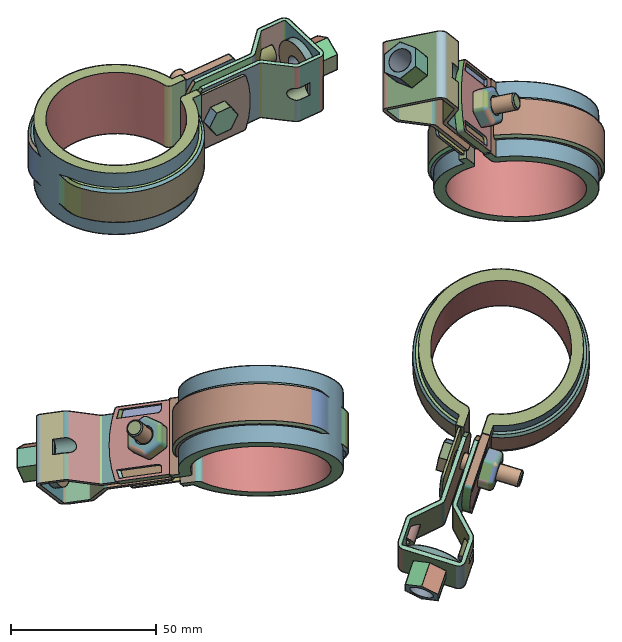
import cadquery as cq
import math


overall_length = 116.8
hexagon_half_angle = 30
pick_margin = 0.1

ring_height = 28.0
ring_outer_radius = 28.4
ring_inner_radius = 24.2
ring_lug_top = 31.4
ear_inner = 3.3
ear_outer = 6.2
slit_corner_radius = 2.0

band_radius = 30.4
band_half_height = 7.6
band_chamfer = 0.9
band_flat = 27.8
band_end_radius = 13.3

sheet = 1.5
bend_inner_radius = 0.6
bend_outer_radius = 2.6
neck_bend_radius = 1.0
slope_angle = math.radians(45)
bracket_height = 25.0
bracket_top = 79.4
bracket_half_width = 12.1
leg_gap_half = 1.4
shoulder_y = 67.5
leg_end = 29.3
leg_end_corner = 34.1

channel_outer_diameter = 8.5
channel_inner_diameter = channel_outer_diameter - 2 * sheet
channel_top = 72.5

hanger_hex_flats = 11.9
hanger_top = overall_length - ring_outer_radius
hanger_disc_diameter = 20.0
hanger_disc_thickness = 2.9
hanger_neck_diameter = 10.5
hanger_bore_diameter = 8.5

screw_y = 38.8
screw_diameter = 6.0
screw_tip = -19.9
screw_tip_chamfer = 0.5
screw_head_flats = 10.3
screw_head_height = 3.7
nut_flats = 12.8
nut_height = 5.4
nut_edge_radius = 1.5
nut_countersink_diameter = 7.0

nut_plate_height = 27.1
nut_plate_tip = 54.0
cover_plate_tip = 52.5
cover_plate_inner = 4.3
cover_plate_outer = 5.3
plate_end_radius = 40.3
plate_corner_radius = 1.2

recess_depth = 1.2
recess_outer_z = 12.5
recess_inner_z = 9.3
recess_start = 34.5
recess_end_outer = 50.2
recess_end_inner = 51.2
recess_corner_radius = 1.5
recess_ramp = 1.0


def box_between(x_range, y_range, z_range):
    size = [high - low for low, high in (x_range, y_range, z_range)]
    corner = (x_range[0], y_range[0], z_range[0])
    return cq.Workplane("XY").box(*size, centered=False).translate(corner)


def cylinder_along_x(diameter, x_start, x_end):
    axis_start = cq.Vector(x_start, screw_y, 0)
    axis = cq.Vector(1, 0, 0)
    return cq.Workplane(cq.Solid.makeCylinder(diameter / 2, x_end - x_start, axis_start, axis))


def hexagon_along_x(flats, x_start, x_end, turn):
    """Hexagonal prism on the screw axis; a turn of zero puts corners at +Y and -Y."""
    corner_diameter = flats / math.cos(math.radians(hexagon_half_angle))
    prism = cq.Workplane("YZ").polygon(6, corner_diameter).extrude(x_end - x_start)
    return prism.rotate((0, 0, 0), (1, 0, 0), turn).translate((x_start, screw_y, 0))


def cut_screw_hole(body):
    return body.cut(cylinder_along_x(screw_diameter, -bracket_half_width, bracket_half_width))


def make_band():
    """Raised band: a disc flattened at -Y, with the flat blended into its round side."""
    blend_x = math.sqrt((band_radius - band_end_radius) ** 2 - (band_flat - band_end_radius) ** 2)
    blend_y = band_end_radius - band_flat
    join_scale = band_radius / (band_radius - band_end_radius)
    join_x = blend_x * join_scale
    join_y = blend_y * join_scale
    middle_angle = (math.atan2(join_y, join_x) - math.pi / 2) / 2
    middle_x = blend_x + band_end_radius * math.cos(middle_angle)
    middle_y = blend_y + band_end_radius * math.sin(middle_angle)
    return (
        cq.Workplane("XY", origin=(0, 0, -band_half_height))
        .moveTo(-blend_x, -band_flat)
        .lineTo(blend_x, -band_flat)
        .threePointArc((middle_x, middle_y), (join_x, join_y))
        .threePointArc((0, band_radius), (-join_x, join_y))
        .threePointArc((-middle_x, middle_y), (-blend_x, -band_flat))
        .close()
        .extrude(2 * band_half_height)
        .faces("|Z")
        .edges()
        .chamfer(band_chamfer)
    )


def make_ring():
    z_range = (-ring_height / 2, ring_height / 2)
    ring = cq.Workplane("XY", origin=(0, 0, z_range[0])).circle(ring_outer_radius).extrude(ring_height)
    ring = ring.union(make_band())
    lugs = box_between((-ear_outer, ear_outer), (ring_inner_radius, ring_lug_top), z_range)
    ring = ring.union(lugs)
    bore = cq.Workplane("XY").circle(ring_inner_radius).extrude(ring_height, both=True)
    slit = box_between((-ear_inner, ear_inner), (0, ring_lug_top), z_range)
    ring = ring.cut(bore).cut(slit)

    corner_y = math.sqrt(ring_inner_radius**2 - ear_inner**2)
    slit_corners = cq.selectors.BoxSelector(
        (-ear_inner - pick_margin, corner_y - pick_margin, -pick_margin),
        (ear_inner + pick_margin, corner_y + pick_margin, pick_margin),
    )
    return ring.edges("|Z").edges(slit_corners).fillet(slit_corner_radius)


def bracket_prism(inset, wide_radius, neck_radius):
    """Funnel-shaped prism of the bracket outline, moved inwards by the given inset.

    Two straight legs widen along slopes into a box that is closed at +Y.
    """
    neck = leg_gap_half + sheet - inset
    side = bracket_half_width - inset
    shoulder = shoulder_y + inset * math.tan(slope_angle / 2)
    neck_y = shoulder - (side - neck) / math.tan(slope_angle)
    top = bracket_top - inset
    right = [(neck, leg_end), (neck, neck_y), (side, shoulder), (side, top)]
    left = [(-x, y) for x, y in reversed(right)]
    prism = cq.Workplane("XY").polyline(right + left).close().extrude(bracket_height / 2, both=True)

    def upright_edges(low_y, high_y):
        lower = (-side - pick_margin, low_y - pick_margin, -pick_margin)
        upper = (side + pick_margin, high_y + pick_margin, pick_margin)
        return prism.edges("|Z").edges(cq.selectors.BoxSelector(lower, upper))

    prism = upright_edges(shoulder, top).fillet(wide_radius)
    return upright_edges(neck_y, neck_y).fillet(neck_radius)


def channel_cylinder(side, diameter):
    length = channel_top - leg_end
    start = cq.Vector(side * bracket_half_width, leg_end, 0)
    return cq.Workplane(cq.Solid.makeCylinder(diameter / 2, length, start, cq.Vector(0, 1, 0)))


def make_bracket():
    outer = bracket_prism(0, bend_outer_radius, neck_bend_radius)
    inner = bracket_prism(sheet, bend_inner_radius, bend_outer_radius)
    bracket = outer.cut(inner)
    half = bracket_height / 2
    side_outline = (
        cq.Workplane("YZ")
        .moveTo(leg_end_corner, half)
        .threePointArc((leg_end, 0), (leg_end_corner, -half))
        .lineTo(bracket_top, -half)
        .lineTo(bracket_top, half)
        .close()
        .extrude(bracket_half_width, both=True)
    )
    bracket = bracket.intersect(side_outline)
    for side in (-1, 1):
        bulge = channel_cylinder(side, channel_outer_diameter).intersect(outer)
        groove = channel_cylinder(side, channel_inner_diameter)
        bracket = bracket.union(bulge).cut(groove)
    neck_start = (0, bracket_top, 0)
    neck_hole = cq.Workplane("XZ", origin=neck_start).circle(hanger_neck_diameter / 2).extrude(sheet)
    return cut_screw_hole(bracket.cut(neck_hole))


def make_hanger_nut():
    disc_top = bracket_top - sheet
    disc_bottom = disc_top - hanger_disc_thickness
    corner_diameter = hanger_hex_flats / math.cos(math.radians(hexagon_half_angle))
    from_bottom = cq.Workplane("XZ", origin=(0, disc_bottom, 0))
    disc = from_bottom.circle(hanger_disc_diameter / 2).extrude(-hanger_disc_thickness)
    neck = from_bottom.circle(hanger_neck_diameter / 2).extrude(-(bracket_top - disc_bottom))
    head = (
        cq.Workplane("XZ", origin=(0, bracket_top, 0))
        .polygon(6, corner_diameter)
        .extrude(-(hanger_top - bracket_top))
        .rotate((0, 0, 0), (0, 1, 0), hexagon_half_angle)
    )
    bore = from_bottom.circle(hanger_bore_diameter / 2).extrude(-(hanger_top - disc_bottom))
    return disc.union(neck).union(head).cut(bore)


def ear_plate(x_start, x_end, height, tip):
    """Upright plate on a ring lug, with a bowed far end and rounded corners."""
    half = height / 2
    shoulder = tip - plate_end_radius + math.sqrt(plate_end_radius**2 - half**2)
    plate = (
        cq.Workplane("YZ", origin=(x_start, 0, 0))
        .moveTo(ring_lug_top, -half)
        .lineTo(shoulder, -half)
        .threePointArc((tip, 0), (shoulder, half))
        .lineTo(ring_lug_top, half)
        .close()
        .extrude(x_end - x_start)
    )
    far_corners = cq.selectors.BoxSelector(
        (x_start, screw_y, -half - pick_margin),
        (x_end, tip, half + pick_margin),
    )
    plate = plate.edges("|X").edges(far_corners).fillet(plate_corner_radius)
    return cut_screw_hole(plate)


def make_nut_plate():
    plate = ear_plate(-ear_outer, -ear_inner, nut_plate_height, nut_plate_tip)
    recess = (
        cq.Workplane("YZ", origin=(-ear_outer, 0, 0))
        .moveTo(recess_start, recess_inner_z)
        .lineTo(recess_end_inner, recess_inner_z)
        .lineTo(recess_end_outer, recess_outer_z)
        .lineTo(recess_start, recess_outer_z)
        .close()
        .extrude(recess_depth)
    )
    recess = recess.edges("|X and <Y and <Z").fillet(recess_corner_radius)
    recess = recess.faces(">X").edges(">Y").chamfer(recess_ramp)
    return plate.cut(recess).cut(recess.mirror("XY"))


def make_cover_plate():
    return ear_plate(cover_plate_inner, cover_plate_outer, bracket_height, cover_plate_tip)


def make_screw():
    shank = cylinder_along_x(screw_diameter, screw_tip, cover_plate_outer)
    shank = shank.faces("<X").chamfer(screw_tip_chamfer)
    head = hexagon_along_x(screw_head_flats, cover_plate_outer, cover_plate_outer + screw_head_height, 0)
    return shank.union(head)


def make_nut():
    outer_face = -ear_outer - nut_height
    nut = hexagon_along_x(nut_flats, outer_face, -ear_outer, hexagon_half_angle)
    nut = nut.edges("|X or <X").fillet(nut_edge_radius)
    nut = cut_screw_hole(nut)
    rim = nut.faces("<X").edges("%CIRCLE")
    return rim.chamfer((nut_countersink_diameter - screw_diameter) / 2)


ring = make_ring()
bracket = make_bracket()
hanger_nut = make_hanger_nut()
nut_plate = make_nut_plate()
cover_plate = make_cover_plate()
screw = make_screw()
nut = make_nut()

bodies = [ring, bracket, hanger_nut, nut_plate, cover_plate, screw, nut]
result = cq.Compound.makeCompound([body.val() for body in bodies])